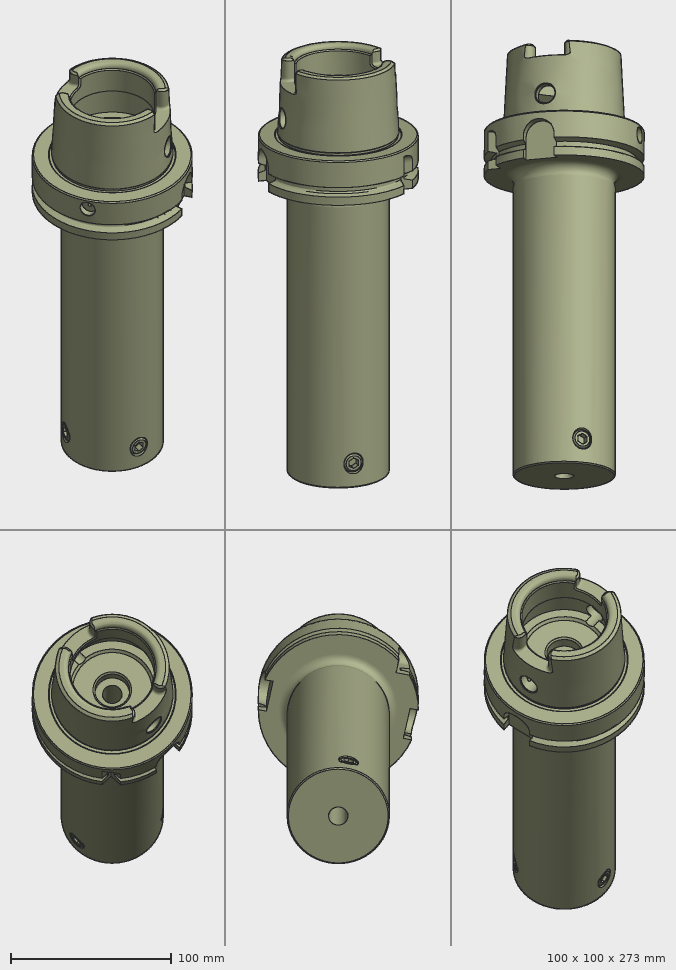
import cadquery as cq
import math


tolerance = 0.003

top_z = 273.0
flange_top_z = 223.2
flange_bottom_z = 194.0
neck_end_z = 188.5
body_top_z = 186.0

body_radius = 32.0
body_chamfer = 0.8
neck_radius = 31.5
neck_fillet = flange_bottom_z - neck_end_z

flange_radius = 50.0
flange_chamfer = 0.8
groove_floor_radius = 45.5
groove_top_z = 205.8
groove_bottom_z = 199.5
groove_floor_top_z = 204.0
groove_floor_bottom_z = 201.7
groove_fillet = 1.0

taper_base_radius = 38.0
taper_base_z = 224.5
taper_top_radius = 35.5
taper_edge_drop = 1.0
rim_outer_radius = 33.3
rim_inner_radius = 30.3
relief_radius = 37.5
relief_outer_radius = 39.8
relief_depth = 0.5

mouth_radius = 26.5
mouth_chamfer = 0.8
mouth_fillet = rim_inner_radius - mouth_radius - mouth_chamfer
clamp_edge_z = 253.0
clamp_radius = 32.0
clamp_cone_angle = 30.0
clamp_floor_z = 232.5
bore_floor_radius = 24.8
bore_floor_z = clamp_floor_z - (mouth_radius - bore_floor_radius)
counterbore_radius = 11.0
counterbore_chamfer = 1.0
counterbore_depth = 8.2
through_radius = 6.0

slot_half_width = 10.0
slot_step_x = 32.5
slot_corner_radius = 4.6
slot_floor_fillet = 2.0
slot_edge_chamfer = 1.5
shallow_slot_depth = 10.0
deep_slot_depth = 15.0

cross_hole_radius = 6.3
cross_hole_z = 238.0
cross_hole_chamfer = 0.5
gripper_slot_radius = 10.0
gripper_slot_top_z = 218.3
gripper_slot_floor_x = 43.7
side_notch_radius = 7.0
side_notch_y = 38.8
side_notch_floor_x = 30.3
chip_hole_radius = 5.0
chip_hole_chamfer = 0.3
chip_hole_depth = 4.6
chip_hole_z = 216.1
chip_tip_radius = 1.0

screw_angles = (-140.0, -40.0, 90.0)
screw_z = 16.0
screw_radius = 6.0
screw_length = 13.6
screw_chamfer = 1.0
screw_outer_end = 31.7
screw_inner_end = screw_outer_end - screw_length
countersink_radius = 6.8
countersink_depth = 1.0
socket_across_flats = 6.0
socket_depth = 5.0


def revolved_outside():
    """Solid of revolution with the outer profile, from the lower end to the rim."""
    neck_fillet_middle = neck_fillet * (1 - math.sqrt(0.5))
    groove_fillet_middle = groove_fillet * (1 - math.sqrt(0.5))
    return (
        cq.Workplane("XZ")
        .moveTo(0, 0)
        .lineTo(body_radius - body_chamfer, 0)
        .lineTo(body_radius, body_chamfer)
        .lineTo(body_radius, body_top_z)
        .lineTo(neck_radius, neck_end_z)
        .threePointArc(
            (neck_radius + neck_fillet_middle, flange_bottom_z - neck_fillet_middle),
            (neck_radius + neck_fillet, flange_bottom_z),
        )
        .lineTo(flange_radius, flange_bottom_z)
        .lineTo(flange_radius, groove_bottom_z)
        .lineTo(groove_floor_radius + groove_fillet, groove_floor_bottom_z - groove_fillet)
        .threePointArc(
            (
                groove_floor_radius + groove_fillet_middle,
                groove_floor_bottom_z - groove_fillet + groove_fillet_middle,
            ),
            (groove_floor_radius, groove_floor_bottom_z),
        )
        .lineTo(groove_floor_radius, groove_floor_top_z)
        .lineTo(flange_radius, groove_top_z)
        .lineTo(flange_radius, flange_top_z - flange_chamfer)
        .lineTo(flange_radius - flange_chamfer, flange_top_z)
        .lineTo(relief_outer_radius, flange_top_z)
        .lineTo(relief_outer_radius - relief_depth, flange_top_z - relief_depth)
        .lineTo(relief_radius, flange_top_z - relief_depth)
        .lineTo(relief_radius, taper_base_z - (taper_base_radius - relief_radius))
        .lineTo(taper_base_radius, taper_base_z)
        .lineTo(taper_top_radius, top_z - taper_edge_drop)
        .lineTo(rim_outer_radius, top_z)
        .lineTo(0, top_z)
        .close()
        .revolve(360, (0, 0, 0), (0, 1, 0))
    )


def revolved_bore():
    """Mouth, clamping groove, floor, counterbore and through hole as one cutting solid."""
    clamp_cone_height = (clamp_radius - mouth_radius) * math.tan(math.radians(clamp_cone_angle))
    mouth_fillet_drop = mouth_fillet * (1 - math.sqrt(0.5))
    mouth_fillet_middle = mouth_fillet * math.sqrt(0.5)
    counterbore_floor_z = bore_floor_z - counterbore_depth
    return (
        cq.Workplane("XZ")
        .moveTo(0, 0)
        .lineTo(through_radius, 0)
        .lineTo(through_radius, counterbore_floor_z)
        .lineTo(counterbore_radius, counterbore_floor_z)
        .lineTo(counterbore_radius, bore_floor_z - counterbore_chamfer)
        .lineTo(counterbore_radius + counterbore_chamfer, bore_floor_z)
        .lineTo(bore_floor_radius, bore_floor_z)
        .lineTo(mouth_radius, clamp_floor_z)
        .lineTo(clamp_radius, clamp_floor_z)
        .lineTo(clamp_radius, clamp_edge_z - clamp_cone_height)
        .lineTo(mouth_radius, clamp_edge_z)
        .lineTo(mouth_radius, top_z - mouth_fillet - mouth_chamfer)
        .lineTo(mouth_radius + mouth_chamfer, top_z - mouth_fillet)
        .threePointArc(
            (rim_inner_radius - mouth_fillet_middle, top_z - mouth_fillet_drop),
            (rim_inner_radius, top_z),
        )
        .lineTo(0, top_z)
        .close()
        .revolve(360, (0, 0, 0), (0, 1, 0))
    )


def slot_plan(z):
    """Plan of a drive slot on the +X side: a straight gap that opens out at slot_step_x."""
    inner_x = bore_floor_radius / 2
    outer_x = flange_radius
    corner_x = slot_step_x - slot_corner_radius
    corner_y = slot_half_width + slot_corner_radius
    bulge = slot_corner_radius * math.sqrt(0.5)
    open_half_width = taper_base_radius
    return (
        cq.Workplane("XY", origin=(0, 0, z))
        .moveTo(inner_x, -slot_half_width)
        .lineTo(corner_x, -slot_half_width)
        .threePointArc((corner_x + bulge, -corner_y + bulge), (slot_step_x, -corner_y))
        .lineTo(slot_step_x, -open_half_width)
        .lineTo(outer_x, -open_half_width)
        .lineTo(outer_x, open_half_width)
        .lineTo(slot_step_x, open_half_width)
        .lineTo(slot_step_x, corner_y)
        .threePointArc((corner_x + bulge, corner_y - bulge), (corner_x, slot_half_width))
        .lineTo(inner_x, slot_half_width)
        .close()
    )


def drive_slot(depth):
    """Cutter for a drive slot on the +X side, with a filleted floor and chamfered upper edges."""
    channel = slot_plan(top_z - depth).extrude(depth).faces("<Z").edges().fillet(slot_floor_fillet)
    upper_edges = slot_plan(top_z - slot_edge_chamfer).extrude(slot_edge_chamfer, taper=-45)
    return channel.union(upper_edges)


def slot_bore_edges(holder):
    """Edges where the walls and floors of the drive slots meet the mouth of the bore."""
    lowest_z = clamp_edge_z + tolerance
    highest_z = top_z - mouth_fillet - mouth_chamfer - tolerance
    edges = []
    for edge in holder.edges().vals():
        ends = [edge.startPoint(), edge.endPoint()]
        on_mouth = all(abs(math.hypot(end.x, end.y) - mouth_radius) < tolerance for end in ends)
        if on_mouth and lowest_z < edge.Center().z < highest_z:
            edges.append(edge)
    return edges


def cross_hole_rims(holder):
    """Edges where the cross hole opens on the outside of the taper."""
    rims = []
    for edge in holder.edges().vals():
        center = edge.Center()
        outside = abs(center.x) > taper_top_radius
        if outside and abs(center.z - cross_hole_z) < cross_hole_radius:
            rims.append(edge)
    return rims


def arched_slot(center_y, radius, arch_top_z, floor_x):
    """Cutter on the -X side, open below and outside, with a flat floor and a round upper end."""
    length = flange_radius - floor_x
    arch_center_z = arch_top_z - radius
    height = arch_center_z - flange_bottom_z
    arch = (
        cq.Workplane("YZ", origin=(-flange_radius, center_y, arch_center_z))
        .circle(radius)
        .extrude(length)
    )
    straight = cq.Workplane("XY").box(length, 2 * radius, height, centered=(False, True, False))
    return arch.union(straight.translate((-flange_radius, center_y, flange_bottom_z)))


def chip_hole():
    """Cutter for the blind data-chip hole on the -Y side, with a conical centre mark in its floor."""
    floor_y = flange_radius - chip_hole_depth
    return (
        cq.Workplane("XY")
        .lineTo(0, -flange_radius)
        .lineTo(chip_hole_radius + chip_hole_chamfer, -flange_radius)
        .lineTo(chip_hole_radius, chip_hole_chamfer - flange_radius)
        .lineTo(chip_hole_radius, -floor_y)
        .lineTo(chip_tip_radius, -floor_y)
        .lineTo(0, chip_tip_radius - floor_y)
        .close()
        .revolve(360, (0, 0, 0), (0, 1, 0))
        .translate((0, 0, chip_hole_z))
    )


def along_screw_axis(solid, angle):
    """Move a solid built on the +X axis to the screw height and turn it to the given angle."""
    return solid.translate((0, 0, screw_z)).rotate((0, 0, 0), (0, 0, 1), angle)


def screw_hole(angle):
    """Cutter for a set-screw hole with a countersink at the body surface."""
    hole_depth = body_radius - screw_inner_end
    hole = (
        cq.Workplane("YZ", origin=(screw_inner_end, 0, 0))
        .circle(screw_radius)
        .extrude(hole_depth)
    )
    countersink = (
        cq.Workplane("YZ", origin=(body_radius - countersink_depth, 0, 0))
        .circle(screw_radius)
        .workplane(offset=countersink_depth)
        .circle(countersink_radius)
        .loft(ruled=True)
    )
    return along_screw_axis(hole.union(countersink), angle)


def make_screw(angle):
    """Set screw with a chamfered outer end and a hexagon socket whose corners point along Z."""
    socket_diameter = socket_across_flats / math.cos(math.pi / 6)
    screw = (
        cq.Workplane("YZ", origin=(screw_inner_end, 0, 0))
        .circle(screw_radius)
        .extrude(screw_length)
        .faces(">X")
        .chamfer(screw_chamfer)
    )
    socket = (
        cq.Workplane("YZ", origin=(screw_outer_end - socket_depth, 0, 0))
        .polygon(6, socket_diameter)
        .extrude(socket_depth)
        .rotate((0, 0, 0), (1, 0, 0), 90)
    )
    return along_screw_axis(screw.cut(socket), angle).solids().val()


def make_holder():
    holder = revolved_outside().cut(revolved_bore())

    holder = holder.cut(drive_slot(deep_slot_depth))
    holder = holder.cut(drive_slot(shallow_slot_depth).rotate((0, 0, 0), (0, 0, 1), 180))

    holder = holder.newObject(slot_bore_edges(holder)).chamfer(mouth_chamfer)

    cross_hole = cq.Workplane("YZ", origin=(0, 0, cross_hole_z)).circle(cross_hole_radius)
    holder = holder.cut(cross_hole.extrude(taper_base_radius, both=True))
    holder = holder.newObject(cross_hole_rims(holder)).chamfer(cross_hole_chamfer)

    gripper_slot = arched_slot(0, gripper_slot_radius, gripper_slot_top_z, gripper_slot_floor_x)
    holder = holder.cut(gripper_slot).cut(gripper_slot.mirror("YZ"))
    holder = holder.cut(
        arched_slot(side_notch_y, side_notch_radius, gripper_slot_top_z, side_notch_floor_x)
    )

    holder = holder.cut(chip_hole())
    for angle in screw_angles:
        holder = holder.cut(screw_hole(angle))
    return holder.solids().val()


holder = make_holder()
screws = [make_screw(angle) for angle in screw_angles]

result = cq.Compound.makeCompound([holder, *screws])